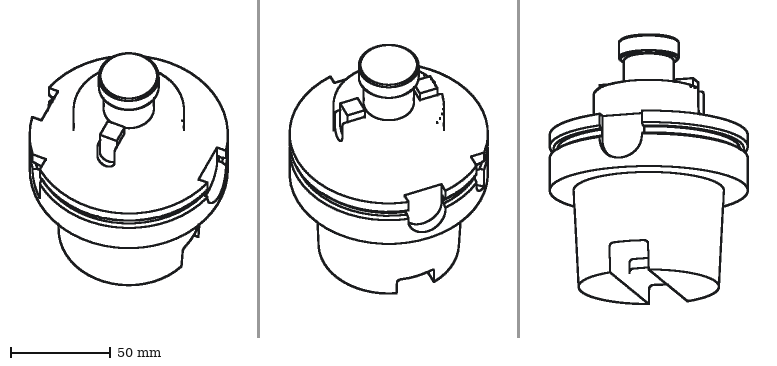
import cadquery as cq
import math

total_height = 127.6
gauge_height = 50.0
flange_top = 78.9
boss_top = 100.8
pilot_top = 118.3

shank_radius_top = 37.9
taper_ratio = 0.05
shank_radius_bottom = shank_radius_top - taper_ratio * gauge_height

flange_radius = 49.97
groove_bottom = 68.0
groove_top = 71.7
groove_floor_radius = 46.0
groove_chamfer_height = 1.1
groove_chamfer_width = groove_chamfer_height * math.tan(math.radians(60))

boss_radius = 27.8
boss_rounding = 1.5
boss_fillet = 3.0
pilot_radius = 12.7
pilot_rounding = 1.4

head_radius = 15.13
head_chamfer = 0.9

flange_slot_bottom = 55.0
flange_slot_floor = 43.8
left_slot_width = 20.2
right_slot_width = 22.2
notch_wall = 31.5
notch_width = 18.8

left_shank_slot_width = 20.3
right_shank_slot_width = 20.3
left_shank_slot_depth = 10.1
right_shank_slot_depth = 15.0
shank_slot_corner = 2.0

key_width = 9.3
key_bottom = 86.0
key_top = 105.6
key_inner = 15.0
key_outer = 24.6


def tongue(width, bottom, top, length):
    """Upright plate with a half-round lower end, running from X = 0 to X = length, centred on Y."""
    radius = width / 2
    return (
        cq.Workplane("YZ")
        .moveTo(-radius, top)
        .lineTo(-radius, bottom + radius)
        .threePointArc((0, bottom), (radius, bottom + radius))
        .lineTo(radius, top)
        .close()
        .extrude(length)
    )


def holder_blank():
    """Shank, grooved flange, boss and pilot as one turned profile."""
    groove_edge_radius = flange_radius - groove_chamfer_width
    return (
        cq.Workplane("YZ")
        .moveTo(0, 0)
        .lineTo(shank_radius_bottom, 0)
        .lineTo(shank_radius_top, gauge_height)
        .lineTo(flange_radius, gauge_height)
        .lineTo(flange_radius, groove_bottom - groove_chamfer_height)
        .lineTo(groove_edge_radius, groove_bottom)
        .lineTo(groove_floor_radius, groove_bottom)
        .lineTo(groove_floor_radius, groove_top)
        .lineTo(groove_edge_radius, groove_top)
        .lineTo(flange_radius, groove_top + groove_chamfer_height)
        .lineTo(flange_radius, flange_top)
        .lineTo(boss_radius + boss_fillet, flange_top)
        .radiusArc((boss_radius, flange_top + boss_fillet), boss_fillet)
        .lineTo(boss_radius, boss_top - boss_rounding)
        .radiusArc((boss_radius - boss_rounding, boss_top), -boss_rounding)
        .lineTo(pilot_radius, boss_top)
        .lineTo(pilot_radius, pilot_top - pilot_rounding)
        .radiusArc((pilot_radius - pilot_rounding, pilot_top), -pilot_rounding)
        .lineTo(0, pilot_top)
        .close()
        .revolve(360, (0, 0, 0), (0, 1, 0))
    )


def flange_slot(width, wall):
    """Cutter for a flange slot on the +X side that ends at a flat wall."""
    return tongue(width, flange_slot_bottom, flange_top, flange_radius).translate((wall, 0, 0))


def shank_slot(width, depth):
    """Cutter from the axis out through the +X side of the shank end, with rounded upper corners."""
    return (
        cq.Workplane("XY")
        .box(shank_radius_top, width, depth, centered=(False, True, False))
        .edges("|X and >Z")
        .fillet(shank_slot_corner)
    )


def half_turn(shape):
    return shape.rotate((0, 0, 0), (0, 0, 1), 180)


def key_slot():
    """Cutter for a key slot that runs from the key's inner end out through the boss."""
    return tongue(key_width, key_bottom, key_top, boss_radius).translate((key_inner, 0, 0))


def make_holder(key_angles):
    holder = holder_blank()
    holder = holder.cut(flange_slot(right_slot_width, flange_slot_floor))
    holder = holder.cut(half_turn(flange_slot(left_slot_width, flange_slot_floor)))

    notch_center = notch_wall + notch_width / 2
    notch = flange_slot(notch_width, notch_wall).translate((0, notch_center, 0))
    holder = holder.cut(half_turn(notch))

    holder = holder.cut(shank_slot(right_shank_slot_width, right_shank_slot_depth))
    holder = holder.cut(half_turn(shank_slot(left_shank_slot_width, left_shank_slot_depth)))

    for angle in key_angles:
        holder = holder.cut(key_slot().rotate((0, 0, 0), (0, 0, 1), angle))
    return holder


def make_key(angle):
    key = tongue(key_width, key_bottom, key_top, key_outer - key_inner)
    return key.translate((key_inner, 0, 0)).rotate((0, 0, 0), (0, 0, 1), angle)


def make_screw_head():
    return (
        cq.Workplane("XY")
        .workplane(offset=pilot_top)
        .circle(head_radius)
        .extrude(total_height - pilot_top)
        .faces("<Z or >Z")
        .chamfer(head_chamfer)
    )


key_angles = (90, 270)
holder = make_holder(key_angles)
screw_head = make_screw_head()
keys = [make_key(angle).val() for angle in key_angles]

result = cq.Compound.makeCompound([holder.val(), screw_head.val(), *keys])